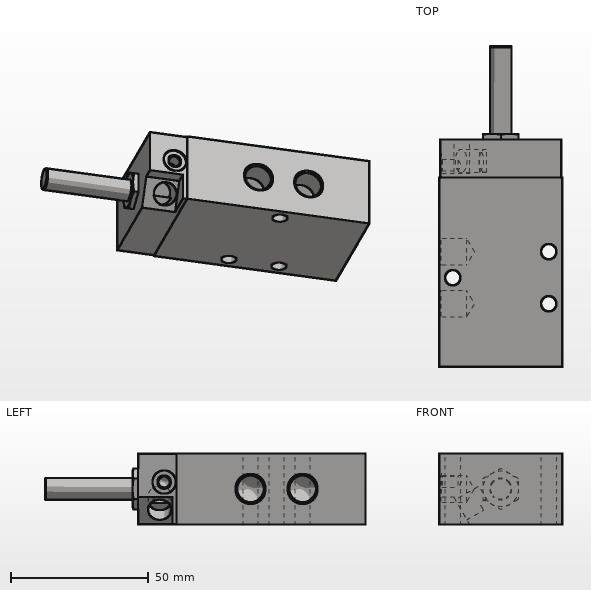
import cadquery as cq
import math

body_width = 45.0
body_height = 26.0
body_length = 69.0
mid_height = body_height / 2

cap_width = 44.2
cap_height = 25.8
cap_length = 14.0
cap_end = body_length + cap_length
cap_side = -cap_width / 2

nut_across_flats = 13.0
nut_across_corners = nut_across_flats / math.cos(math.radians(30))
nut_thickness = 2.0
nut_chamfer_angle = 20.0
rod_diameter = 8.0
rod_end = 117.0
rod_tip_diameter = 7.4
rod_chamfer_length = 0.5

port_spacing = 19.0
port_middle = 32.5
port_positions = [port_middle - port_spacing / 2, port_middle + port_spacing / 2]
port_diameter = 9.73
port_mouth_diameter = 11.0
port_depth = 10.0
mount_diameter = 5.5
mount_edge_distance = 5.0
mount_x = body_width / 2 - mount_edge_distance
drill_point_angle = 118.0

pilot_y = 73.5
pilot_z = 15.5
pilot_diameter = 4.13
pilot_mouth_diameter = 4.9
pilot_depth = 6.0
spotface_diameter = 8.5
spotface_depth = 0.5

notch_height = 10.0
notch_start = 70.5
notch_tilt = 30.0
notch_ceiling = 5.0
socket_diameter = 8.5
socket_y = 75.1
socket_z = 5.4
socket_depth = 7.0
floor_edge_offset = -1.2
socket_step_depth = 3.0


def drilled_port(side_x, y, z, diameter, mouth_diameter, depth):
    """Blind hole along +X from side_x, with a 45 degree mouth and a drill point."""
    radius = diameter / 2
    mouth_radius = mouth_diameter / 2
    mouth_depth = mouth_radius - radius
    point_length = radius / math.tan(math.radians(drill_point_angle / 2))
    return (
        cq.Workplane("XY")
        .polyline([
            (0, 0),
            (0, mouth_radius),
            (mouth_depth, radius),
            (depth, radius),
            (depth + point_length, 0),
        ])
        .close()
        .revolve(360, (0, 0, 0), (1, 0, 0))
        .translate((side_x, y, z))
    )


def block(width, length, height, start_y):
    """Block centred on X and at mid height."""
    return (
        cq.Workplane("XY")
        .box(width, length, height, centered=(True, False, True))
        .translate((0, start_y, mid_height))
    )


def end_plane(y):
    """Plane on the rod axis whose normal is +Y."""
    return cq.Plane(origin=(0, y, mid_height), xDir=(0, 0, 1), normal=(0, 1, 0))


def make_nut():
    """Hexagon nut with two corners along Z and its outer corners chamfered."""
    hexagon = cq.Workplane(end_plane(cap_end)).polygon(6, nut_across_corners).extrude(nut_thickness)
    corner_radius = nut_across_corners / 2
    face_radius = nut_across_flats / 2
    chamfer_length = (corner_radius - face_radius) * math.tan(math.radians(nut_chamfer_angle))
    envelope = (
        cq.Workplane(end_plane(cap_end))
        .circle(corner_radius)
        .extrude(nut_thickness)
        .faces(">Y")
        .chamfer(chamfer_length, corner_radius - face_radius)
    )
    return hexagon.intersect(envelope)


def make_rod():
    """Round rod along Y with a chamfered tip."""
    return (
        cq.Workplane(end_plane(cap_end))
        .circle(rod_diameter / 2)
        .extrude(rod_end - cap_end)
        .faces(">Y")
        .chamfer(rod_chamfer_length, (rod_diameter - rod_tip_diameter) / 2)
    )


def mounting_holes():
    """One hole near the -X side and two near the +X side, all through along Z."""
    positions = [(-mount_x, port_middle)] + [(mount_x, y) for y in port_positions]
    return cq.Workplane("XY").pushPoints(positions).circle(mount_diameter / 2).extrude(body_height)


def pilot_port():
    """Spotface with a drilled hole at its centre."""
    spotface = (
        cq.Workplane("YZ", origin=(cap_side, pilot_y, pilot_z))
        .circle(spotface_diameter / 2)
        .extrude(spotface_depth)
    )
    hole = drilled_port(
        cap_side + spotface_depth, pilot_y, pilot_z, pilot_diameter, pilot_mouth_diameter, pilot_depth
    )
    return spotface.union(hole)


def sloped_notch():
    """Notch whose back wall leans inwards towards the bottom of the cap."""
    wall_top = cap_side + notch_ceiling
    wall_lean = notch_height * math.tan(math.radians(notch_tilt))
    return (
        cq.Workplane("XZ", origin=(0, cap_end, 0))
        .polyline([
            (cap_side, 0),
            (cap_side, notch_height),
            (wall_top, notch_height),
            (wall_top + wall_lean, 0),
        ])
        .close()
        .extrude(cap_end - notch_start)
    )


def sloped_socket():
    """Round socket square to the notch face; its upper part is deeper than its floor."""
    tilt = math.radians(notch_tilt)
    socket_x = cap_side + notch_ceiling + (notch_height - socket_z) * math.tan(tilt)
    plane = cq.Plane(
        origin=(socket_x, socket_y, socket_z),
        xDir=(0, 1, 0),
        normal=(math.cos(tilt), 0, math.sin(tilt)),
    )
    full_depth = socket_depth + socket_step_depth
    floor = cq.Workplane(plane).circle(socket_diameter / 2).extrude(socket_depth)
    deep_round = cq.Workplane(plane).circle(socket_diameter / 2).extrude(full_depth)
    upper_part = (
        cq.Workplane(plane)
        .center(0, floor_edge_offset)
        .rect(socket_diameter, socket_diameter, centered=(True, False))
        .extrude(full_depth)
    )
    return floor.union(deep_round.intersect(upper_part))


result = block(body_width, body_length, body_height, 0)
result = result.union(block(cap_width, cap_length, cap_height, body_length))
result = result.union(make_nut()).union(make_rod())
result = result.cut(mounting_holes())
for port_y in port_positions:
    result = result.cut(
        drilled_port(-body_width / 2, port_y, mid_height, port_diameter, port_mouth_diameter, port_depth)
    )
result = result.cut(pilot_port())
result = result.cut(sloped_notch()).cut(sloped_socket())